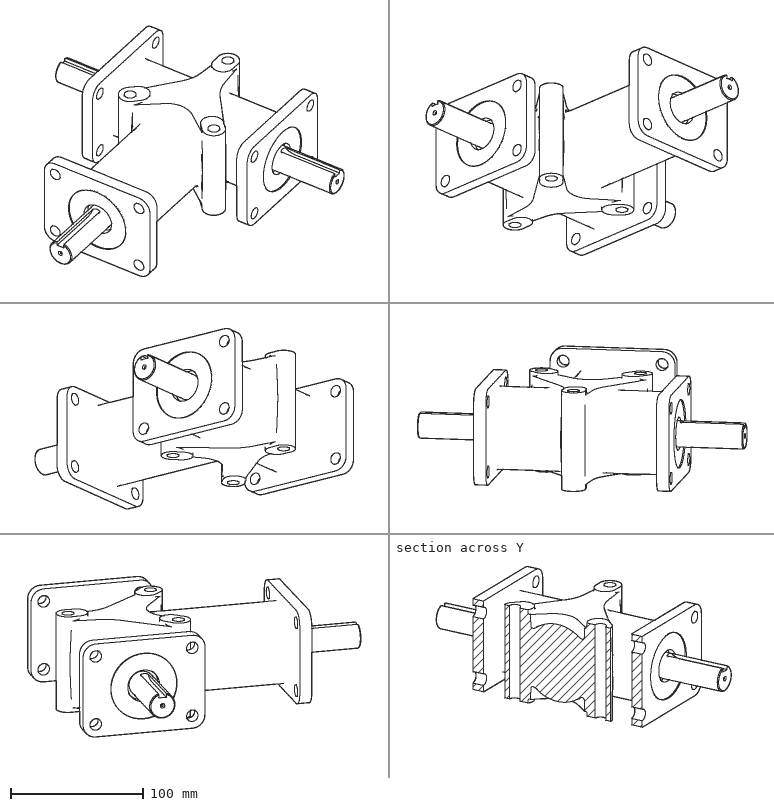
import cadquery as cq
import math


hole_pitch = 76.0
hole_pitch_height = 54.0
hole_diameter = 9.0

tube_radius = 31.5
flange_corner_radius = 10.0
flange_width = hole_pitch + 2 * flange_corner_radius
flange_height = hole_pitch_height + 2 * flange_corner_radius
flange_thickness = 9.5
flange_root_fillet = 2.0
output_reach = 75.0
input_reach = 140.0

cap_radius = 26.0
cap_depth = 1.0
bore_radius = 12.5
bore_depth = 6.0

shaft_radius = 10.0
shaft_length = 50.0
shaft_chamfer = 0.8
keyway_width = 6.0
keyway_depth = 3.5
keyway_cutter_radius = 15.0
center_hole_radius = 0.8
center_hole_depth = 5.0
center_mouth_radius = 1.8

boss_radius = 9.0
boss_height = 76.0
boss_offset = hole_pitch / 2
pad_height = 3.5
pad_length = 6.5
pad_fillet = 1.2
web_top = boss_height / 2 - pad_height
web_draft = 2.0
arm_tip_half_width = 8.8
side_notch = (11.8, 8.5)
front_notch = (0, -19.2)
side_notch_radius = 30.0
front_notch_radius = 20.0
web_fillet = 2.0

diagonal = math.sqrt(0.5)
ARMS = [
    ((0, boss_offset), (0, 1)),
    ((boss_offset, -boss_offset), (diagonal, -diagonal)),
    ((-boss_offset, -boss_offset), (-diagonal, -diagonal)),
]


def tube_along_x(reach):
    """Plain tube along +X from the origin, with its seam on top, clear of the web's mid plane."""
    seam_up = cq.Plane(origin=(0, 0, 0), xDir=(0, 0, 1), normal=(1, 0, 0))
    return cq.Workplane(seam_up).circle(tube_radius).extrude(reach)


def flange_along_x(reach):
    """Square flange with its filleted root collar, centred on +X."""
    plate = (
        cq.Workplane("YZ", origin=(reach - flange_thickness, 0, 0))
        .rect(flange_width, flange_height)
        .extrude(flange_thickness)
        .edges("|X")
        .fillet(flange_corner_radius)
    )
    root = reach - flange_thickness
    collar = (
        cq.Workplane("XZ")
        .moveTo(root - flange_root_fillet, 0)
        .lineTo(root - flange_root_fillet, tube_radius)
        .radiusArc((root, tube_radius + flange_root_fillet), -flange_root_fillet)
        .lineTo(root, 0)
        .close()
        .revolve(360, (0, 0, 0), (1, 0, 0))
    )
    return plate.union(collar)


def flange_cuts(reach):
    """Bolt holes, cap recess and shaft clearance in the +X flange face."""
    face = cq.Workplane("YZ", origin=(reach, 0, 0))
    holes = (
        face.rect(hole_pitch, hole_pitch_height, forConstruction=True)
        .vertices()
        .circle(hole_diameter / 2)
        .extrude(-flange_thickness)
    )
    cap = face.circle(cap_radius).extrude(-cap_depth)
    bore = face.circle(bore_radius).extrude(-bore_depth)
    return holes.union(cap).union(bore)


def shaft_along_x(reach):
    """Keyed shaft along +X, rooted at the bottom of the flange bore."""
    end = reach + shaft_length
    start = reach - bore_depth
    body = (
        cq.Workplane("YZ", origin=(start, 0, 0))
        .circle(shaft_radius)
        .extrude(end - start)
        .faces(">X")
        .chamfer(shaft_chamfer)
    )

    floor = shaft_radius - keyway_depth
    cutter_z = floor + keyway_cutter_radius
    runout = math.sqrt(keyway_cutter_radius**2 - (cutter_z - shaft_radius) ** 2)
    keyway = (
        cq.Workplane("XZ", origin=(0, keyway_width / 2, 0))
        .moveTo(end, floor)
        .lineTo(reach + runout, floor)
        .radiusArc((reach + runout - keyway_cutter_radius, cutter_z), keyway_cutter_radius)
        .lineTo(end, cutter_z)
        .close()
        .extrude(keyway_width)
    )

    mouth_depth = center_mouth_radius - center_hole_radius
    center_hole = (
        cq.Workplane("XZ")
        .moveTo(end, 0)
        .lineTo(end, center_mouth_radius)
        .lineTo(end - mouth_depth, center_hole_radius)
        .lineTo(end - center_hole_depth, center_hole_radius)
        .lineTo(end - center_hole_depth, 0)
        .close()
        .revolve(360, (0, 0, 0), (1, 0, 0))
    )
    return body.cut(keyway).cut(center_hole)


def arm_tip(arm, side):
    """Corner of an arm end; side is +1 to the left of the outward direction, -1 to the right."""
    (x, y), (dx, dy) = arm
    return (x - side * dy * arm_tip_half_width, y + side * dx * arm_tip_half_width)


def web_profile():
    """Outline of the web faces: three tapering arms with rounded notches between them."""
    top_arm, right_arm, left_arm = ARMS
    outline = [
        arm_tip(top_arm, 1),
        arm_tip(top_arm, -1),
        side_notch,
        arm_tip(right_arm, 1),
        arm_tip(right_arm, -1),
        front_notch,
        arm_tip(left_arm, 1),
        arm_tip(left_arm, -1),
        (-side_notch[0], side_notch[1]),
    ]
    profile = cq.Sketch().polygon(outline + outline[:1])
    for notch, radius in (
        (side_notch, side_notch_radius),
        ((-side_notch[0], side_notch[1]), side_notch_radius),
        (front_notch, front_notch_radius),
    ):
        profile = profile.reset().vertices(cq.NearestToPointSelector((*notch, 0))).fillet(radius)
    return profile.reset()


def web():
    """Three-armed web, drafted away from its mid plane towards both faces."""
    upper = (
        cq.Workplane("XY", origin=(0, 0, web_top))
        .placeSketch(web_profile())
        .extrude(-web_top, taper=-web_draft)
    )
    return upper.union(upper.mirror("XY"))


def boss_cylinders(radius):
    """Full-height cylinders on the three boss axes."""
    base = cq.Workplane("XY", origin=(0, 0, -boss_height / 2))
    return base.pushPoints([axis for axis, _ in ARMS]).circle(radius).extrude(boss_height)


def pads():
    """Raised round-ended pads on both web faces, with a cove where each inner end meets the web."""
    face = cq.Workplane("XY", origin=(0, 0, web_top))
    coves = face.newObject([])
    slots = face.newObject([])
    for (x, y), (dx, dy) in ARMS:
        slot = (
            cq.Workplane("XY", origin=(x - dx * pad_length / 2, y - dy * pad_length / 2, web_top))
            .transformed(rotate=(0, 0, math.degrees(math.atan2(dy, dx))))
            .slot2D(pad_length + 2 * arm_tip_half_width, 2 * arm_tip_half_width)
            .extrude(pad_height)
        )
        cove = (
            cq.Workplane("XZ", origin=(x - dx * pad_length, y - dy * pad_length, web_top))
            .lineTo(arm_tip_half_width + pad_fillet, 0)
            .radiusArc((arm_tip_half_width, pad_fillet), pad_fillet)
            .lineTo(0, pad_fillet)
            .close()
            .revolve(360, (0, 0, 0), (0, 1, 0))
        )
        slots = slots.add(slot)
        coves = coves.add(cove)
    above_web = face.placeSketch(web_profile()).extrude(pad_fillet)
    upper = slots.combine().union(coves.combine().intersect(above_web))
    return upper.union(upper.mirror("XY"))


def at_each_leg(part):
    """The +X, -X and -Y placements of a feature that is modelled along +X."""
    z_axis = ((0, 0, 0), (0, 0, 1))
    output = part(output_reach)
    return [output, output.rotate(*z_axis, 180), part(input_reach).rotate(*z_axis, -90)]


housing = web()
for tube in at_each_leg(tube_along_x):
    housing = housing.union(tube)
blend_edges = [edge for edge in housing.edges().vals() if edge.geomType() not in ("LINE", "CIRCLE")]
housing = housing.newObject(blend_edges).fillet(web_fillet)

for flange in at_each_leg(flange_along_x):
    housing = housing.union(flange)
housing = housing.union(boss_cylinders(boss_radius)).union(pads())

result = housing
for cut in at_each_leg(flange_cuts):
    result = result.cut(cut)
result = result.cut(boss_cylinders(hole_diameter / 2))
for part in at_each_leg(shaft_along_x):
    result = result.union(part)